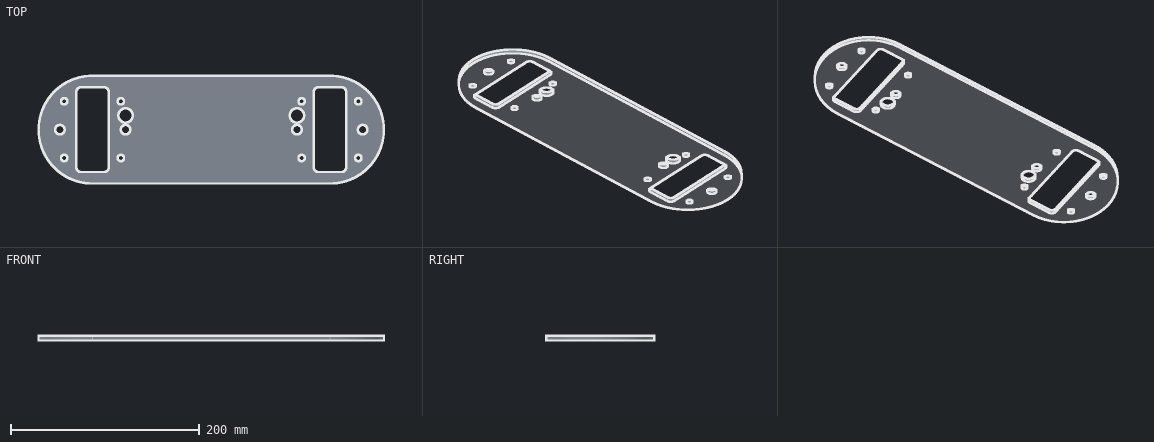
import cadquery as cq

length = 367.0
width = 115.0
thickness = 5.0
end_center_x = (length - width) / 2

window_length = 34.0
window_width = 90.0
window_corner_radius = 4.8

small_hole_diameter = 6.5
small_hole_spacing = 60.2

medium_hole_diameter = 10.0
outer_hole_x = 160.7
inner_hole_x = 91.0

large_hole_diameter = 15.0
large_hole_y = 15.0


def through_holes(diameter, points):
    """Cutters through the plate at the given points."""
    return cq.Workplane("XY").pushPoints(points).circle(diameter / 2).extrude(thickness)


def window(center_x):
    """Cutter for one window with rounded corners."""
    return (
        cq.Workplane("XY")
        .center(center_x, 0)
        .rect(window_length, window_width)
        .extrude(thickness)
        .edges("|Z")
        .fillet(window_corner_radius)
    )


result = cq.Workplane("XY").slot2D(length, width).extrude(thickness)

for side in (-1, 1):
    half_spacing = small_hole_spacing / 2
    small_points = [
        (side * end_center_x + dx, dy)
        for dx in (-half_spacing, half_spacing)
        for dy in (-half_spacing, half_spacing)
    ]
    medium_points = [(side * outer_hole_x, 0), (side * inner_hole_x, 0)]
    large_points = [(side * inner_hole_x, large_hole_y)]

    result = result.cut(window(side * end_center_x))
    result = result.cut(through_holes(small_hole_diameter, small_points))
    result = result.cut(through_holes(medium_hole_diameter, medium_points))
    result = result.cut(through_holes(large_hole_diameter, large_points))